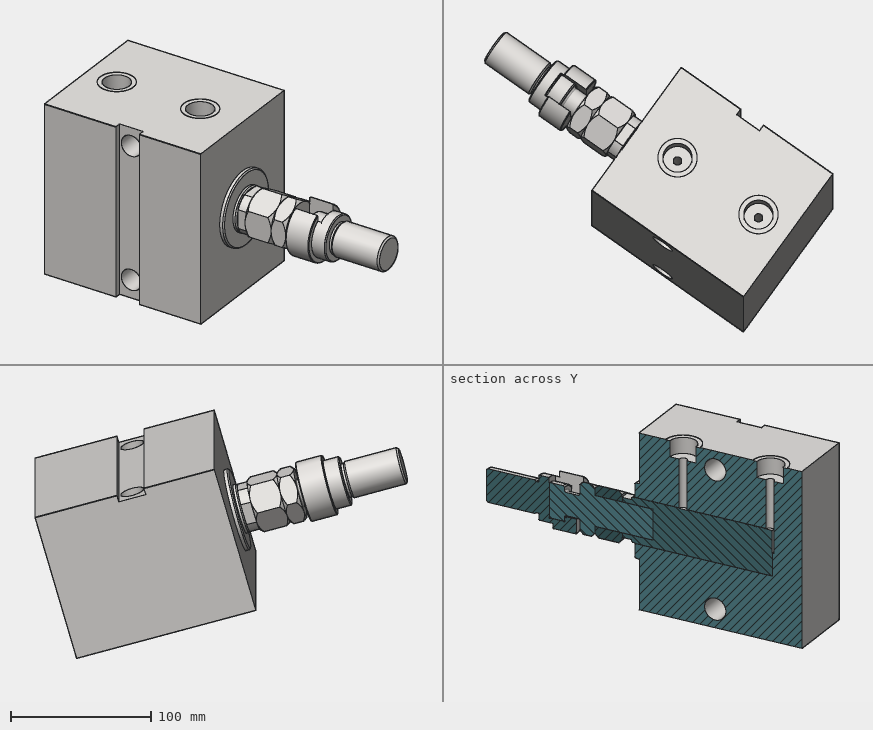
import cadquery as cq
import math


block_length = 133.0
block_width = 110.0
block_height = 140.0
edge_chamfer = 0.35
boss_diameter = 60.0
boss_length = 3.5
boss_chamfer = 1.0
key_slot_width = 20.0
key_slot_depth = 5.0
mount_x = 70.8
mount_hole_diameter = 17.0
mount_hole_spacing = 110.0
port_positions = (26.0, 97.0)
port_diameter = 21.0
port_depth = 13.0
port_spotface_diameter = 28.0
port_spotface_depth = 0.3
oil_hole_diameter = 6.0

rod_diameter = 36.0
rod_rear_x = 24.2
rod_shoulder_x = 139.3
rod_end_x = 146.8
rod_chamfer = 1.0
rod_flats_diameter = 35.5
rod_across_flats = 32.0

hex_across_flats = 36.0
nut_length = 22.2
stud_hex_length = 12.4

shank_diameter = 24.0
shank_depth_in_rod = 25.0
neck_diameter = 18.8
neck_fillet = 1.3
head_diameter = 28.5
head_start_x = 193.6
head_end_x = 206.4
head_chamfer = 1.0

coupling_start_x = 183.8
collar_diameter = 44.0
collar_length = 19.6
collar_chamfer = 0.6
body_diameter = 36.0
body_end_x = 215.0
body_chamfer = 0.8
relief_diameter = 25.0
relief_length = 1.7
pin_diameter = 27.0
pin_chamfer = 1.3
pin_end_x = 257.5
entry_slot_width = 19.6

boss_end_x = block_length + boss_length
nut_end_x = rod_end_x + nut_length
stud_hex_end_x = nut_end_x + stud_hex_length
shank_start_x = rod_end_x - shank_depth_in_rod
neck_flare_diameter = neck_diameter + 2 * neck_fillet


def cylinder(start_x, end_x, diameter):
    """Round bar along the rod axis."""
    return cq.Workplane("YZ", origin=(start_x, 0, 0)).circle(diameter / 2).extrude(end_x - start_x)


def chamfered_hexagon(start_x, length):
    """Hexagon along the rod axis with corners up and down and both ends turned to 45 degrees."""
    across_corners = hex_across_flats / math.cos(math.pi / 6)
    prism = (
        cq.Workplane("YZ", origin=(start_x, 0, 0))
        .transformed(rotate=(0, 0, 90))
        .polygon(6, across_corners)
        .extrude(length)
    )
    corner_height = (across_corners - hex_across_flats) / 2
    turned_bar = cylinder(start_x, start_x + length, across_corners).edges().chamfer(corner_height)
    return prism.intersect(turned_bar)


def make_block():
    block = (
        cq.Workplane("XY")
        .box(block_length, block_width, block_height, centered=(False, True, True))
        .edges("|X")
        .chamfer(edge_chamfer)
    )
    boss = cylinder(block_length, boss_end_x, boss_diameter).faces(">X").edges().chamfer(boss_chamfer)
    block = block.union(boss)

    key_slot = cq.Workplane("XY").box(key_slot_width, 2 * key_slot_depth, block_height)
    block = block.cut(key_slot.translate((mount_x, -block_width / 2, 0)))

    for side in (-1, 1):
        mount_hole = (
            cq.Workplane("XZ", origin=(mount_x, block_width / 2, side * mount_hole_spacing / 2))
            .circle(mount_hole_diameter / 2)
            .extrude(block_width)
        )
        block = block.cut(mount_hole)

    for port_x in port_positions:
        top = cq.Workplane("XY", origin=(port_x, 0, block_height / 2))
        block = block.cut(top.circle(port_spotface_diameter / 2).extrude(-port_spotface_depth))
        block = block.cut(top.circle(port_diameter / 2).extrude(-port_depth))
        block = block.cut(top.circle(oil_hole_diameter / 2).extrude(-block_height / 2))

    return block.cut(cylinder(rod_rear_x, boss_end_x, rod_diameter))


def make_rod():
    rod = cylinder(rod_rear_x, rod_shoulder_x, rod_diameter).faces(">X").edges().chamfer(rod_chamfer)
    wrench_end = cylinder(rod_shoulder_x, rod_end_x, rod_flats_diameter)
    square = cq.Workplane("YZ", origin=(rod_shoulder_x, 0, 0)).rect(rod_across_flats, rod_across_flats)
    wrench_end = wrench_end.intersect(square.extrude(rod_end_x - rod_shoulder_x))
    rod = rod.union(wrench_end)
    return rod.cut(cylinder(shank_start_x, rod_end_x, shank_diameter))


def make_nut():
    return chamfered_hexagon(rod_end_x, nut_length).cut(cylinder(rod_end_x, nut_end_x, shank_diameter))


def make_stud():
    stud = chamfered_hexagon(nut_end_x, stud_hex_length)
    stud = stud.union(cylinder(shank_start_x, nut_end_x, shank_diameter))
    neck_radius = neck_diameter / 2
    flare_radius = neck_flare_diameter / 2
    arc_depth = neck_fillet * (1 - math.sqrt(0.5))
    neck = (
        cq.Workplane("XY")
        .moveTo(stud_hex_end_x, 0)
        .lineTo(stud_hex_end_x, flare_radius)
        .threePointArc(
            (stud_hex_end_x + arc_depth, neck_radius + arc_depth),
            (stud_hex_end_x + neck_fillet, neck_radius),
        )
        .lineTo(head_start_x - neck_fillet, neck_radius)
        .threePointArc(
            (head_start_x - arc_depth, neck_radius + arc_depth),
            (head_start_x, flare_radius),
        )
        .lineTo(head_start_x, 0)
        .close()
        .revolve(360, (0, 0, 0), (1, 0, 0))
    )
    head = cylinder(head_start_x, head_end_x, head_diameter).edges().chamfer(head_chamfer)
    return stud.union(neck).union(head)


def make_coupling():
    collar_end_x = coupling_start_x + collar_length
    pin_start_x = body_end_x + relief_length
    collar = cylinder(coupling_start_x, collar_end_x, collar_diameter).edges().chamfer(collar_chamfer)
    body = cylinder(coupling_start_x, body_end_x, body_diameter).faces(">X").edges().chamfer(body_chamfer)
    relief = cylinder(body_end_x, pin_start_x, relief_diameter)
    pin = cylinder(pin_start_x, pin_end_x, pin_diameter).edges().chamfer(pin_chamfer)
    coupling = collar.union(body).union(relief).union(pin)

    slot_length = head_end_x - coupling_start_x
    entry_slot = cq.Workplane("XY").box(
        slot_length, entry_slot_width, collar_diameter, centered=(False, True, False)
    )
    coupling = coupling.cut(entry_slot.translate((coupling_start_x, 0, 0)))
    coupling = coupling.cut(cylinder(coupling_start_x, head_end_x, entry_slot_width))
    coupling = coupling.cut(cylinder(head_start_x - neck_fillet, head_start_x, neck_flare_diameter))
    return coupling.cut(cylinder(head_start_x, head_end_x, head_diameter))


block = make_block()
rod = make_rod()
nut = make_nut()
stud = make_stud()
coupling = make_coupling()

result = cq.Compound.makeCompound([block.val(), rod.val(), nut.val(), stud.val(), coupling.val()])